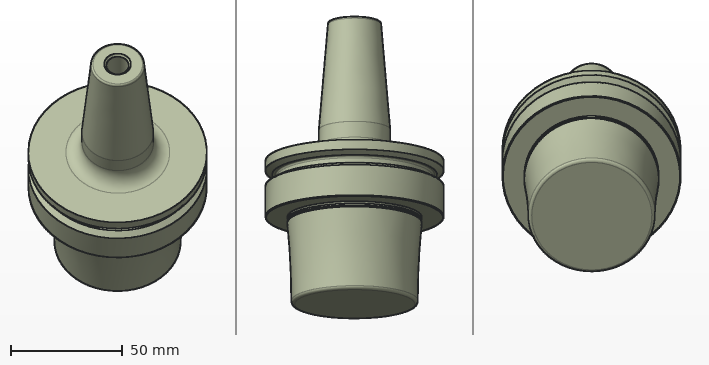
import cadquery as cq
import math


flange_radius = 40.0
flange_height = 26.0
flange_edge_chamfer = 0.4
groove_centre_z = 17.95
groove_mouth_width = 7.1
groove_floor_width = 3.6
groove_floor_radius = 35.0
groove_flank_angle = 30.0
groove_flank_width = (groove_mouth_width - groove_floor_width) / 2
groove_flank_depth = groove_flank_width / math.tan(math.radians(groove_flank_angle))
groove_corner_fillet = 0.8
cutter_overrun = 1.0

shank_length = 39.9
shank_top_radius = 30.2
shank_bottom_radius = 28.4
shank_top_z = -2.5
shank_end_fillet = 1.5
shank_flank_bottom_z = -shank_length + shank_end_fillet
relief_radius = 29.85
relief_top_z = -0.9
relief_bottom_z = -1.7

nose_top_z = 90.0
nose_root_radius = 16.05
nose_tip_radius = 12.0
nose_root_fillet = 7.2
cone_start_z = 40.5
tip_fillet = 0.9

bore_radius = 5.0
bore_depth = 40.0
bore_chamfer = 1.0


def point_on_circle(centre, radius, angle):
    """Point on a circle in the profile plane at the given angle in degrees."""
    turn = math.radians(angle)
    return (centre[0] + radius * math.cos(turn), centre[1] + radius * math.sin(turn))


def shank_flank_middle():
    """Mid-point of the flank arc, which is tangent to vertical at its lower end."""
    drop = shank_top_z - shank_flank_bottom_z
    flare = shank_top_radius - shank_bottom_radius
    arc_radius = (drop**2 + flare**2) / (2 * flare)
    centre = (shank_bottom_radius + arc_radius, shank_flank_bottom_z)
    half_sweep = math.degrees(math.asin(drop / arc_radius)) / 2
    return point_on_circle(centre, arc_radius, 180 - half_sweep)


def make_body():
    """Revolve the outer profile, without the groove, about the Z axis."""
    root_centre = (nose_root_radius + nose_root_fillet, flange_height + nose_root_fillet)
    shank_end_centre = (shank_bottom_radius - shank_end_fillet, shank_flank_bottom_z)
    tip_centre = (nose_tip_radius - tip_fillet, nose_top_z - tip_fillet)
    profile = (
        cq.Workplane("XZ")
        .moveTo(0, -shank_length)
        .lineTo(shank_end_centre[0], -shank_length)
        .threePointArc(
            point_on_circle(shank_end_centre, shank_end_fillet, -45),
            (shank_bottom_radius, shank_flank_bottom_z),
        )
        .threePointArc(shank_flank_middle(), (shank_top_radius, shank_top_z))
        .lineTo(relief_radius, relief_bottom_z)
        .lineTo(relief_radius, relief_top_z)
        .lineTo(shank_top_radius, 0)
        .lineTo(flange_radius - flange_edge_chamfer, 0)
        .lineTo(flange_radius, flange_edge_chamfer)
        .lineTo(flange_radius, flange_height)
        .lineTo(root_centre[0], flange_height)
        .threePointArc(
            point_on_circle(root_centre, nose_root_fillet, 225),
            (nose_root_radius, root_centre[1]),
        )
        .lineTo(nose_root_radius, cone_start_z)
        .lineTo(nose_tip_radius, nose_top_z - tip_fillet)
        .threePointArc(
            point_on_circle(tip_centre, tip_fillet, 45),
            (tip_centre[0], nose_top_z),
        )
        .lineTo(0, nose_top_z)
        .close()
    )
    return profile.revolve(360, (0, 0, 0), (0, 1, 0))


def make_gripper_groove():
    """Ring with flared mouth, flat side walls and rounded floor corners."""
    half_mouth = groove_mouth_width / 2
    half_floor = groove_floor_width / 2
    flank_radius = flange_radius - groove_flank_depth
    fillet_radius = groove_floor_radius + groove_corner_fillet
    half_straight = half_floor - groove_corner_fillet
    lower_centre = (fillet_radius, groove_centre_z - half_straight)
    upper_centre = (fillet_radius, groove_centre_z + half_straight)
    clear_radius = flange_radius + cutter_overrun
    profile = (
        cq.Workplane("XZ")
        .moveTo(clear_radius, groove_centre_z - half_mouth)
        .lineTo(flange_radius, groove_centre_z - half_mouth)
        .lineTo(flank_radius, groove_centre_z - half_floor)
        .lineTo(fillet_radius, groove_centre_z - half_floor)
        .threePointArc(
            point_on_circle(lower_centre, groove_corner_fillet, 225),
            (groove_floor_radius, lower_centre[1]),
        )
        .lineTo(groove_floor_radius, upper_centre[1])
        .threePointArc(
            point_on_circle(upper_centre, groove_corner_fillet, 135),
            (fillet_radius, groove_centre_z + half_floor),
        )
        .lineTo(flank_radius, groove_centre_z + half_floor)
        .lineTo(flange_radius, groove_centre_z + half_mouth)
        .lineTo(clear_radius, groove_centre_z + half_mouth)
        .close()
    )
    return profile.revolve(360, (0, 0, 0), (0, 1, 0))


def make_bore():
    """Blind bore from the nose tip, with a chamfered mouth."""
    profile = (
        cq.Workplane("XZ")
        .moveTo(0, nose_top_z)
        .lineTo(bore_radius + bore_chamfer, nose_top_z)
        .lineTo(bore_radius, nose_top_z - bore_chamfer)
        .lineTo(bore_radius, nose_top_z - bore_depth)
        .lineTo(0, nose_top_z - bore_depth)
        .close()
    )
    return profile.revolve(360, (0, 0, 0), (0, 1, 0))


result = make_body().cut(make_gripper_groove()).cut(make_bore())